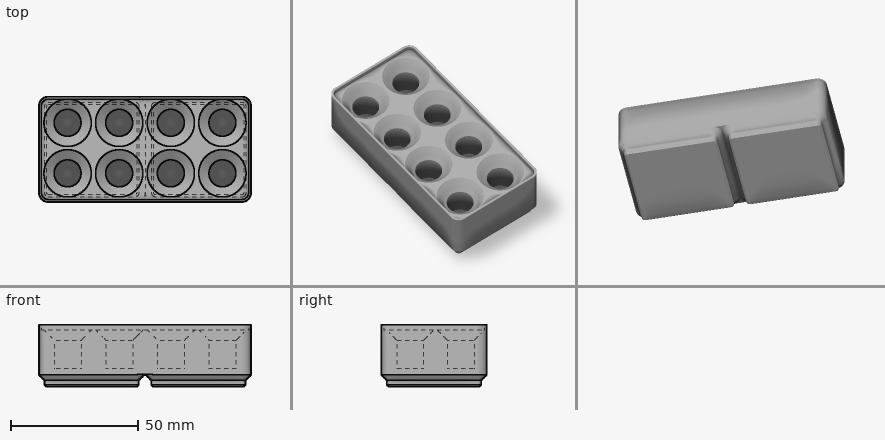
import cadquery as cq

CELL_COUNT = 2
CELL_PITCH = 42.0
CELL_RADIUS = 4.0
CLEARANCE = 0.25

FOOT_CHAMFER = 0.8
FOOT_STRAIGHT = 1.75
FOOT_FLARE = 2.4
FOOT_TAPER = 45
FOOT_HEIGHT = FOOT_CHAMFER + FOOT_STRAIGHT + FOOT_FLARE

LENGTH = CELL_COUNT * CELL_PITCH - 2 * CLEARANCE
WIDTH = CELL_PITCH - 2 * CLEARANCE
HEIGHT = 24.5
BODY_RADIUS = CELL_RADIUS - CLEARANCE

RIM_THICKNESS = 1.0
RIM_DEPTH = 2.0
RIM_FILLET = 0.3
FLOOR_Z = HEIGHT - RIM_DEPTH

COLUMNS = 4
ROWS = 2
COLUMN_PITCH = 20.3
ROW_PITCH = 19.9
ROW_SHIFT = 0.5
BORE_DIAMETER = 10.6
CONE_DEPTH = 4.0
MOUTH_DIAMETER = BORE_DIAMETER + 2 * CONE_DEPTH
WELL_DEPTH = 15.0


def rounded_block(length, width, radius, bottom_z, top_z, taper=0):
    """Block on the Z axis with rounded upright edges; a negative taper widens it upward."""
    outline = cq.Sketch().rect(length, width).vertices().fillet(radius)
    base = cq.Workplane("XY").workplane(offset=bottom_z).placeSketch(outline)
    return base.extrude(top_z - bottom_z, taper=taper)


def make_foot():
    """Stepped foot that widens to its full cell where it meets the body."""
    toe_inset = FOOT_FLARE + FOOT_CHAMFER
    flare_z = FOOT_CHAMFER + FOOT_STRAIGHT

    def step(inset, bottom_z, top_z, taper=0):
        size = CELL_PITCH - 2 * inset
        return rounded_block(size, size, CELL_RADIUS - inset, bottom_z, top_z, taper)

    toe = step(toe_inset, 0, FOOT_CHAMFER, -FOOT_TAPER)
    neck = step(FOOT_FLARE, FOOT_CHAMFER, flare_z)
    flare = step(FOOT_FLARE, flare_z, FOOT_HEIGHT, -FOOT_TAPER)
    return toe.union(neck).union(flare)


def make_base():
    """Row of feet, trimmed to the sides of the body."""
    foot = make_foot().val()
    feet = cq.Workplane("XY").rarray(CELL_PITCH, CELL_PITCH, CELL_COUNT, 1).eachpoint(foot)
    return rounded_block(LENGTH, WIDTH, BODY_RADIUS, 0, FOOT_HEIGHT).intersect(feet)


def make_body():
    """Block with a recessed top face inside a thin rim with rounded edges."""
    body = rounded_block(LENGTH, WIDTH, BODY_RADIUS, FOOT_HEIGHT, HEIGHT)
    recess = rounded_block(
        LENGTH - 2 * RIM_THICKNESS,
        WIDTH - 2 * RIM_THICKNESS,
        BODY_RADIUS - RIM_THICKNESS,
        FLOOR_Z,
        HEIGHT,
    )
    return body.cut(recess).faces(">Z").edges().fillet(RIM_FILLET)


def make_well():
    """Cutter for one well, with its mouth at the recessed face."""
    bore_radius = BORE_DIAMETER / 2
    profile = [
        (0, FLOOR_Z),
        (MOUTH_DIAMETER / 2, FLOOR_Z),
        (bore_radius, FLOOR_Z - CONE_DEPTH),
        (bore_radius, FLOOR_Z - WELL_DEPTH),
        (0, FLOOR_Z - WELL_DEPTH),
    ]
    return cq.Workplane("XZ").polyline(profile).close().revolve(360, (0, 0), (0, 1))


def make_wells():
    """Grid of well cutters."""
    grid = cq.Workplane("XY").center(0, ROW_SHIFT).rarray(COLUMN_PITCH, ROW_PITCH, COLUMNS, ROWS)
    return grid.eachpoint(make_well().val())


result = make_base().union(make_body()).cut(make_wells()).solids()